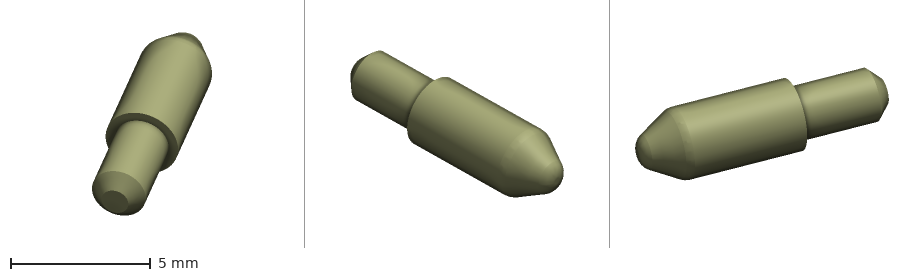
import cadquery as cq
import math

head_radius = 1.35
head_length = 6.0
nose_length = 1.5
nose_half_angle = math.radians(30)
nose_blend_radius = 0.6
shank_radius = 1.0
shank_length = 3.5
shank_chamfer = 0.5

nose_base_y = head_length - nose_length
nose_tip_radius = head_radius - nose_length * math.tan(nose_half_angle)


def make_locating_head():
    """Cylinder with a conical nose, rounded at the cone's base and at its tip."""
    profile = (
        cq.Workplane("XY")
        .moveTo(0, 0)
        .lineTo(head_radius, 0)
        .lineTo(head_radius, nose_base_y)
        .lineTo(nose_tip_radius, head_length)
        .lineTo(0, head_length)
        .close()
    )
    sharp_head = profile.revolve(360, (0, 0, 0), (0, 1, 0))
    nose_edges = sharp_head.faces("%CONE").edges("%CIRCLE")
    return nose_edges.fillet(nose_blend_radius)


def make_shank():
    """Plain cylinder butting against the head's shoulder, chamfered at its free end."""
    cylinder = cq.Workplane("XZ").circle(shank_radius).extrude(shank_length)
    return cylinder.faces("<Y").chamfer(shank_chamfer)


locating_head = make_locating_head()
shank = make_shank()

result = cq.Compound.makeCompound([locating_head.val(), shank.val()])